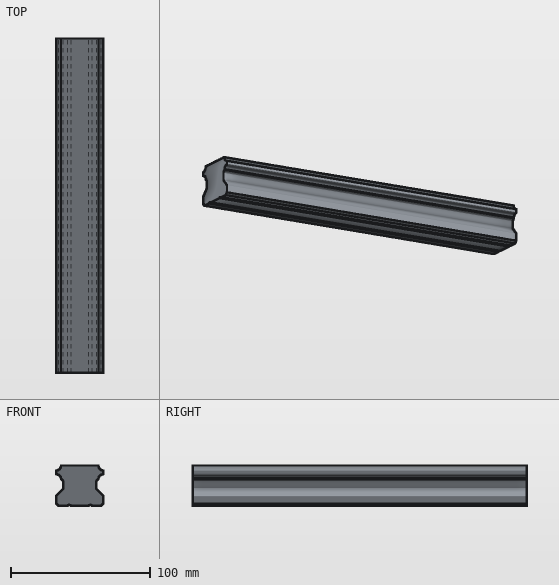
import cadquery as cq

WIDTH = 34.0
LENGTH = 240.0
HEIGHT = 29.0
HALF_WIDTH = WIDTH / 2

TOP_HALF_WIDTH = 13.5
TRACK_LIP = 0.65
TRACK_RADIUS = 3.5
NOSE_TIP_TOP_Z = 25.0
NOSE_TIP_BOTTOM_Z = 23.0
NOSE_ROUND = 0.45
UPPER_TRACK_TOP_Z = HEIGHT - TRACK_LIP
UPPER_TRACK_BOTTOM_Z = NOSE_TIP_TOP_Z + NOSE_ROUND
LOWER_TRACK_TOP_Z = NOSE_TIP_BOTTOM_Z - NOSE_ROUND
LOWER_TRACK_BOTTOM_Z = 20.0
TRACK_OUTER_X = HALF_WIDTH - NOSE_ROUND

WAIST_HALF_WIDTH = 11.9
WAIST_BOTTOM_Z = 12.2
HEAD_FLANK_TOP_Z = LOWER_TRACK_BOTTOM_Z - TRACK_LIP
WAIST_TOP_Z = HEAD_FLANK_TOP_Z - (TOP_HALF_WIDTH - WAIST_HALF_WIDTH)
FOOT_TOP_Z = WAIST_BOTTOM_Z - (HALF_WIDTH - WAIST_HALF_WIDTH)
FOOT_CHAMFER = 1.7
FLANK_ROUND = 1.0

RELIEF_INNER_X = 6.4
RELIEF_OUTER_X = 8.8
RELIEF_CENTRE_X = (RELIEF_INNER_X + RELIEF_OUTER_X) / 2
RELIEF_DEPTH = 0.6


def half_section():
    """Right half of the cross-section, closed along the middle plane."""
    return (
        cq.Workplane("XZ", origin=(0, LENGTH / 2, 0))
        .moveTo(0, HEIGHT)
        .lineTo(TOP_HALF_WIDTH, HEIGHT)
        .lineTo(TOP_HALF_WIDTH, UPPER_TRACK_TOP_Z)
        .radiusArc((TRACK_OUTER_X, UPPER_TRACK_BOTTOM_Z), -TRACK_RADIUS)
        .radiusArc((HALF_WIDTH, NOSE_TIP_TOP_Z), NOSE_ROUND)
        .lineTo(HALF_WIDTH, NOSE_TIP_BOTTOM_Z)
        .radiusArc((TRACK_OUTER_X, LOWER_TRACK_TOP_Z), NOSE_ROUND)
        .radiusArc((TOP_HALF_WIDTH, LOWER_TRACK_BOTTOM_Z), -TRACK_RADIUS)
        .lineTo(TOP_HALF_WIDTH, HEAD_FLANK_TOP_Z)
        .lineTo(WAIST_HALF_WIDTH, WAIST_TOP_Z)
        .lineTo(WAIST_HALF_WIDTH, WAIST_BOTTOM_Z)
        .lineTo(HALF_WIDTH, FOOT_TOP_Z)
        .lineTo(HALF_WIDTH, FOOT_CHAMFER)
        .lineTo(HALF_WIDTH - FOOT_CHAMFER, 0)
        .lineTo(RELIEF_OUTER_X, 0)
        .threePointArc((RELIEF_CENTRE_X, RELIEF_DEPTH), (RELIEF_INNER_X, 0))
        .lineTo(0, 0)
        .close()
    )


def round_flank_corners(half):
    """Round the corners where the 45 degree flanks meet the waist and the foot."""
    corners = [
        (WAIST_HALF_WIDTH, WAIST_TOP_Z),
        (WAIST_HALF_WIDTH, WAIST_BOTTOM_Z),
        (HALF_WIDTH, FOOT_TOP_Z),
    ]
    for x, z in corners:
        corner_edge = cq.selectors.NearestToPointSelector((x, 0, z))
        half = half.edges(corner_edge).fillet(FLANK_ROUND)
    return half


half_rail = round_flank_corners(half_section().extrude(LENGTH))
result = half_rail.union(half_rail.mirror("YZ"), clean=True)